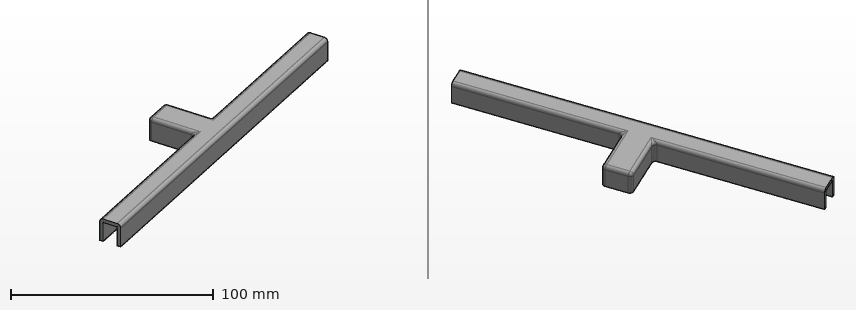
import cadquery as cq

length = 200.0
rail_width = 12.0
height = 13.0
wall = 2.0

overall_width = 38.8
arm_width = 16.5
arm_reach = overall_width - rail_width

edge_radius = 2.0


def block(x_min, x_max, y_size, z_size):
    """Box centred on Y that stands on the bottom plane."""
    return cq.Workplane("XY").box(
        x_max - x_min, y_size, z_size, centered=(False, True, False)
    ).translate((x_min, 0, 0))


def make_rail():
    """Solid rail with both long top edges rounded."""
    rail = block(0, rail_width, length, height)
    return rail.edges("|Y and >Z").fillet(edge_radius)


def make_arm():
    """Solid arm with rounded top edges and tip corners, ending inside the rail."""
    arm = block(-arm_reach, rail_width / 2, arm_width, height)
    return arm.edges("(|X and >Z) or (|Y and <X and >Z) or (|Z and <X)").fillet(edge_radius)


def make_body():
    """Rail and arm joined, with the two upright inside corners rounded."""
    body = make_rail().union(make_arm()).clean()
    roots = [
        edge
        for edge in body.edges("|Z").vals()
        if abs(edge.Center().x) < edge_radius / 2 and abs(edge.Center().y) < arm_width
    ]
    return body.newObject(roots).fillet(edge_radius)


def make_channel():
    """Groove through the full length, leaving the side walls and the roof."""
    return block(wall, rail_width - wall, length, height - wall)


result = make_body().cut(make_channel())